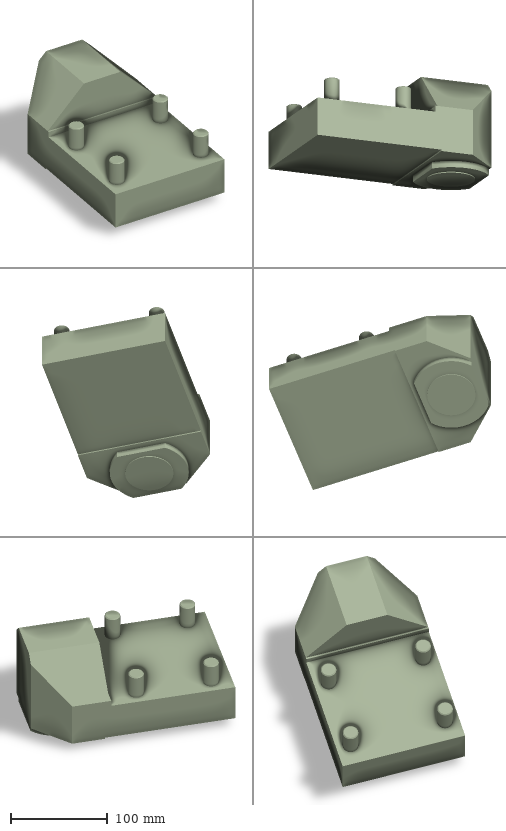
import cadquery as cq

length = 209.0
width = 132.0

head_height = 92.0
shoulder_height = 48.3
plate_top = 41.8
plate_bottom = 1.5

head_back = 75.0
shoulder_back = 77.0
foot_back = 70.5

corner_bevel = 35.3
roof_width = 43.9

disc_center_x = 32.4
disc_diameter = 81.7
disc_width = 63.3
disc_thickness = 7.0
lip_diameter = 50.0
lip_thickness = 1.0

pin_diameter = 16.0
pin_top = 68.0
pin_chamfer = 1.0
pin_first_x = 107.0
pin_spacing_x = 79.8
pin_spacing_y = 102.0


def make_body():
    """Plate and stepped head, drawn as a side profile and extruded across Y."""
    profile = [
        (0, 0),
        (foot_back, 0),
        (foot_back, plate_bottom),
        (length, plate_bottom),
        (length, plate_top),
        (shoulder_back, plate_top),
        (shoulder_back, shoulder_height),
        (head_back, shoulder_height),
        (head_back, head_height),
        (0, head_height),
    ]
    return cq.Workplane("XZ").polyline(profile).close().extrude(width / 2, both=True)


def make_roof_envelope():
    """Cross-section with sloping roof sides, running the full length."""
    half_width = width / 2
    half_roof = roof_width / 2
    section = [
        (-half_width, 0),
        (half_width, 0),
        (half_width, shoulder_height),
        (half_roof, head_height),
        (-half_roof, head_height),
        (-half_width, shoulder_height),
    ]
    return cq.Workplane("YZ").polyline(section).close().extrude(length)


def make_plan_envelope():
    """Plan outline with the two corners at the head end bevelled."""
    return (
        cq.Workplane("XY")
        .box(length, width, head_height, centered=(False, True, False))
        .edges("|Z and <X")
        .chamfer(corner_bevel)
    )


def make_disc():
    """Round disc with two flats across X, and a thin round lip below it."""
    disc = cq.Workplane("XY").circle(disc_diameter / 2).extrude(-disc_thickness)
    flats = cq.Workplane("XY").rect(disc_width, disc_diameter).extrude(-disc_thickness)
    lip = (
        cq.Workplane("XY")
        .workplane(offset=-disc_thickness)
        .circle(lip_diameter / 2)
        .extrude(-lip_thickness)
    )
    return disc.intersect(flats).union(lip).translate((disc_center_x, 0, 0))


def make_pins():
    """Four chamfered pins standing on the plate in a rectangular pattern."""
    pin = (
        cq.Workplane("XY")
        .circle(pin_diameter / 2)
        .extrude(pin_top - plate_top)
        .faces(">Z")
        .chamfer(pin_chamfer)
    )
    pattern_center_x = pin_first_x + pin_spacing_x / 2
    return (
        cq.Workplane("XY")
        .center(pattern_center_x, 0)
        .rect(pin_spacing_x, pin_spacing_y, forConstruction=True)
        .vertices()
        .eachpoint(lambda place: pin.val().translate((0, 0, plate_top)).moved(place))
    )


body = make_body().intersect(make_roof_envelope()).intersect(make_plan_envelope())
result = body.union(make_disc()).union(make_pins())